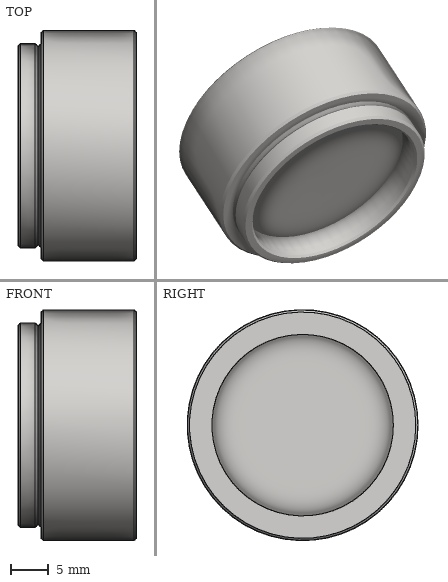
import cadquery as cq
import math


body_radius = 15.25
total_length = 15.6
shoulder_x = 3.05
neck_radius = 13.5
edge_chamfer = 0.3

groove_depth = 0.4
groove_bottom_x = shoulder_x - groove_depth
groove_start_x = groove_bottom_x - groove_depth

bore_radius = 11.98
bore_chamfer = 0.27

lens_recess = 3.72
lens_back_x = total_length - lens_recess
lens_sag = 0.12


def make_housing():
    """Stepped ring with chamfered edges and a plain through bore."""
    half_profile = [
        (0, bore_radius + bore_chamfer),
        (0, neck_radius - edge_chamfer),
        (edge_chamfer, neck_radius),
        (groove_start_x, neck_radius),
        (groove_bottom_x, neck_radius - groove_depth),
        (shoulder_x, neck_radius),
        (shoulder_x, body_radius - edge_chamfer),
        (shoulder_x + edge_chamfer, body_radius),
        (total_length - edge_chamfer, body_radius),
        (total_length, body_radius - edge_chamfer),
        (total_length, bore_radius),
        (bore_chamfer, bore_radius),
    ]
    return cq.Workplane("XY").polyline(half_profile).close().revolve(360, (0, 0), (1, 0))


def make_lens():
    """Round lens filling the bore, with a shallow concave front and a flat back."""
    sphere_radius = (bore_radius**2 + lens_sag**2) / (2 * lens_sag)
    sphere_centre_x = lens_recess + lens_sag - sphere_radius

    mid_radius = bore_radius / 2
    mid_x = sphere_centre_x + math.sqrt(sphere_radius**2 - mid_radius**2)

    return (
        cq.Workplane("XY")
        .moveTo(lens_recess + lens_sag, 0)
        .threePointArc((mid_x, mid_radius), (lens_recess, bore_radius))
        .lineTo(lens_back_x, bore_radius)
        .lineTo(lens_back_x, 0)
        .close()
        .revolve(360, (0, 0), (1, 0))
    )


housing = make_housing()
lens = make_lens()

result = cq.Compound.makeCompound([housing.val(), lens.val()])